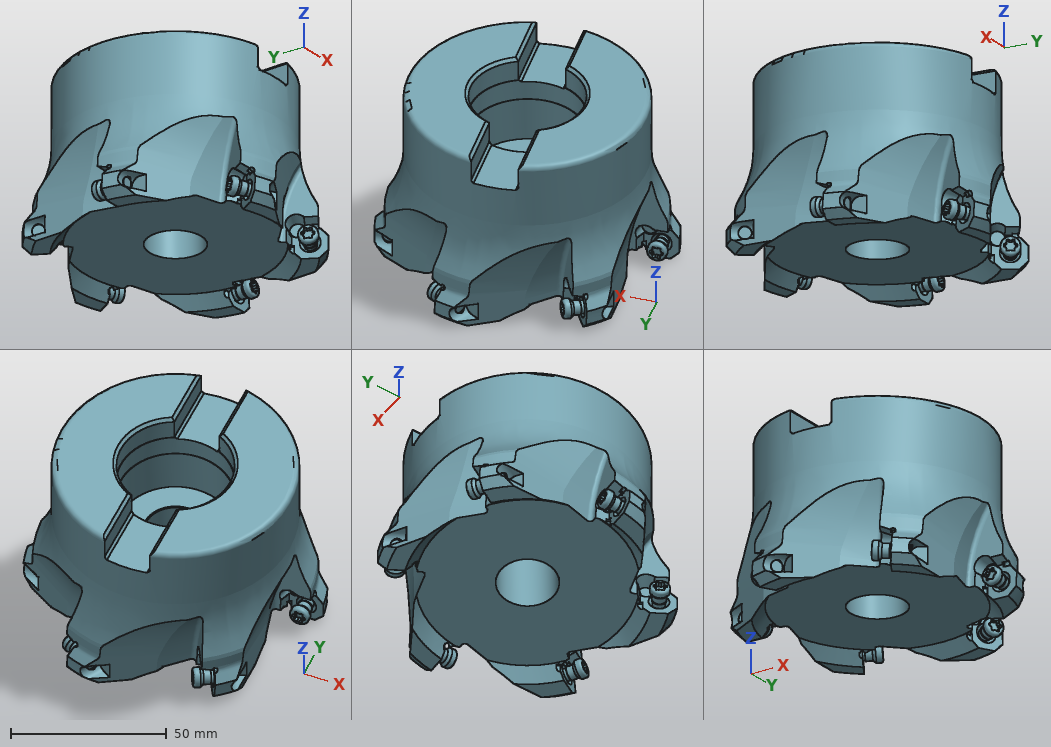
import cadquery as cq
import math


TOOTH_COUNT = 6

HEIGHT = 61.8
HUB_RADIUS = 40.0
HUB_RIM_FILLET = 1.95
FLARE_TOP = 38.5
FLARE_RADIUS = 40.0
FLARE_BOTTOM = 17.9
COLLAR_RADIUS = 46.0
COLLAR_TOP = 16.6
COLLAR_BOTTOM = 12.9
CONE_TOP_RADIUS = 47.0
CONE_TOP = 10.6
CUTTING_RADIUS = 49.2
LAND_TOP = 8.1
LAND_CHAMFER = 2.9
FACE_INNER_RADIUS = 40.5
FACE_RECESS_DEPTH = 4.3

BORE_RADIUS = 19.0
BORE_DEPTH = 32.2
BORE_CHAMFER = 1.1
BORE_RELIEF_TOP = 53.2
BORE_RELIEF_BOTTOM = 45.5
BORE_RELIEF_DEPTH = 0.1
BOLT_HOLE_RADIUS = 10.2
BOLT_HOLE_CHAMFER = 0.3
SLOT_WIDTH = 15.8
SLOT_DEPTH = 9.4
SLOT_TOP_CHAMFER = 1.1
SLOT_BOTTOM_CHAMFER = 0.9

AXIAL_RAKE = 3.5
SCREW_X = 42.8
SEAT_Y = 7.1
SEAT_Z = 5.8
SEAT = cq.Plane(
    origin=(SCREW_X, SEAT_Y, SEAT_Z),
    xDir=(1, 0, 0),
    normal=(0, -math.cos(math.radians(AXIAL_RAKE)), math.sin(math.radians(AXIAL_RAKE))),
)
BEYOND = 43.9

WALL_HEIGHT = 4.4
FLOOR_X = 36.0
FLOOR_U = FLOOR_X - SCREW_X
FLOOR_BEND = 3.9
FLOOR_CURVE_RADIUS = 51.7
FLOOR_START = 5.85
FLUTE_TOP = 37.1
ROOT_DEPTH = 3.2
ROOT_U = FLOOR_U - ROOT_DEPTH
ROOT_BEND = 0.4
ROOT_CURVE_RADIUS = 49.7
ROOT_SKEW = 0.25
ROOT_FILLET = 1.4

SEAT_APOTHEM = 6.0
SEAT_SIDES = 8
SEAT_HALF_SIDE = SEAT_APOTHEM * math.tan(math.pi / SEAT_SIDES)
SEAT_DRAFT = 15.0
RELIEF_RADIUS = 0.9
RELIEF_START = 0.7
SCOOP_U = -4.2
SCOOP_V = 5.0
SCOOP_DEPTH = 0.5
SCOOP_FLOOR_RADIUS = 2.5
SCOOP_WALL_RADIUS = 3.4

CROSS_HOLE_RADIUS = 3.0
CROSS_HOLE_DISTANCE = 8.6
CROSS_HOLE_END_X = 40.1

SHANK_RADIUS = 2.1
SHANK_LENGTH = 5.85
NECK_RADIUS = 2.4
NECK_BOTTOM = 0.8
COUNTERSINK_RADIUS = 3.4
HEAD_RADIUS = 3.3
HEAD_TOP = 6.5
HEAD_FILLET = 0.9
HEAD_CONE_TOP = 4.3
HEAD_CONE_BOTTOM = 3.2
DRIVE_CORE_RADIUS = 1.8
DRIVE_LOBE_RADIUS = 0.5
DRIVE_DEPTH = 1.8
DRIVE_LOBES = 6


def around(shape):
    """Copies of a shape at every tooth position."""
    step = 360 / TOOTH_COUNT
    return [shape.rotate((0, 0, 0), (0, 0, 1), i * step) for i in range(TOOTH_COUNT)]


def blank():
    """Revolved body with its flared skirt, cutting ring and recessed end face."""
    flare_drop = FLARE_TOP - FLARE_BOTTOM
    flare_end = HUB_RADIUS + FLARE_RADIUS - math.sqrt(FLARE_RADIUS**2 - flare_drop**2)
    return (
        cq.Workplane("XZ")
        .moveTo(0, HEIGHT)
        .lineTo(HUB_RADIUS - HUB_RIM_FILLET, HEIGHT)
        .tangentArcPoint((HUB_RADIUS, HEIGHT - HUB_RIM_FILLET), relative=False)
        .lineTo(HUB_RADIUS, FLARE_TOP)
        .tangentArcPoint((flare_end, FLARE_BOTTOM), relative=False)
        .lineTo(COLLAR_RADIUS, COLLAR_TOP)
        .lineTo(COLLAR_RADIUS, COLLAR_BOTTOM)
        .tangentArcPoint((CONE_TOP_RADIUS, CONE_TOP), relative=False)
        .lineTo(CUTTING_RADIUS, LAND_TOP)
        .lineTo(CUTTING_RADIUS, LAND_CHAMFER)
        .lineTo(CUTTING_RADIUS - LAND_CHAMFER, 0)
        .lineTo(FACE_INNER_RADIUS, 0)
        .lineTo(FACE_INNER_RADIUS - FACE_RECESS_DEPTH, FACE_RECESS_DEPTH)
        .lineTo(0, FACE_RECESS_DEPTH)
        .close()
        .revolve(360, (0, 0, 0), (0, 1, 0))
    )


def arbor_bore():
    """Stepped bore with a chamfered mouth, a shallow relief groove and the bolt hole below."""
    floor = HEIGHT - BORE_DEPTH
    relief_radius = BORE_RADIUS + BORE_RELIEF_DEPTH
    return (
        cq.Workplane("XZ")
        .polyline([
            (0, HEIGHT),
            (BORE_RADIUS + BORE_CHAMFER, HEIGHT),
            (BORE_RADIUS, HEIGHT - BORE_CHAMFER),
            (BORE_RADIUS, BORE_RELIEF_TOP),
            (relief_radius, BORE_RELIEF_TOP),
            (relief_radius, BORE_RELIEF_BOTTOM),
            (BORE_RADIUS, BORE_RELIEF_BOTTOM),
            (BORE_RADIUS, floor),
            (BOLT_HOLE_RADIUS + BOLT_HOLE_CHAMFER, floor),
            (BOLT_HOLE_RADIUS, floor - BOLT_HOLE_CHAMFER),
            (BOLT_HOLE_RADIUS, 0),
            (0, 0),
        ])
        .close()
        .revolve(360, (0, 0, 0), (0, 1, 0))
    )


def drive_slot():
    """Keyway across the top, with chamfered upper and lower edges."""
    half = SLOT_WIDTH / 2
    floor = HEIGHT - SLOT_DEPTH
    right_side = [
        (half - SLOT_BOTTOM_CHAMFER, floor),
        (half, floor + SLOT_BOTTOM_CHAMFER),
        (half, HEIGHT - SLOT_TOP_CHAMFER),
        (half + SLOT_TOP_CHAMFER, HEIGHT),
    ]
    left_side = [(-x, z) for x, z in reversed(right_side)]
    return cq.Workplane("XZ").polyline(right_side + left_side).close().extrude(HUB_RADIUS, both=True)


def floor_outline(distance, floor_u, bend_v, curve_radius):
    """Flute cross section at a distance in front of the seat: upright floor, curving outward above the bend."""
    top_u = floor_u + curve_radius - math.sqrt(curve_radius**2 - (FLUTE_TOP - bend_v) ** 2)
    return (
        cq.Workplane(SEAT)
        .workplane(offset=distance)
        .moveTo(floor_u, -BEYOND)
        .lineTo(floor_u, bend_v)
        .tangentArcPoint((top_u, FLUTE_TOP), relative=False)
        .lineTo(BEYOND, FLUTE_TOP)
        .lineTo(BEYOND, -BEYOND)
        .close()
    )


def flute():
    """Chip space: a long floor reaching the previous tooth and a skewed root along the front wall."""
    floor = floor_outline(FLOOR_START, FLOOR_U, FLOOR_BEND, FLOOR_CURVE_RADIUS).extrude(BEYOND - FLOOR_START)
    root_outline = floor_outline(WALL_HEIGHT, ROOT_U, ROOT_BEND, ROOT_CURVE_RADIUS).val()
    root_length = BEYOND - WALL_HEIGHT
    root_path = SEAT.toWorldCoords((root_length * ROOT_SKEW, 0, root_length)) - SEAT.origin
    root = cq.Workplane(cq.Solid.extrudeLinear(root_outline, [], root_path))
    wall = root.faces(cq.selectors.NearestToPointSelector(SEAT.toWorldCoords((0, 0, WALL_HEIGHT))))
    root_edges = [e for e in wall.edges().vals() if SEAT.toLocalCoords(e.Center()).x < 0]
    root = root.newObject(root_edges).fillet(ROOT_FILLET)
    return floor.union(root)


def insert_seat():
    """Seat with the drafted walls of half an octagon, open outward and downward."""
    return (
        cq.Workplane(SEAT)
        .polyline([
            (-SEAT_APOTHEM, -BEYOND),
            (-SEAT_APOTHEM, SEAT_HALF_SIDE),
            (-SEAT_HALF_SIDE, SEAT_APOTHEM),
            (BEYOND, SEAT_APOTHEM),
            (BEYOND, -BEYOND),
        ])
        .close()
        .extrude(WALL_HEIGHT, taper=-SEAT_DRAFT)
    )


def seat_reliefs():
    """Round grooves in the two corners between the seat and its upper and inner walls."""
    upper = cq.Solid.makeCylinder(
        RELIEF_RADIUS, BEYOND, SEAT.toWorldCoords((RELIEF_START, SEAT_APOTHEM, 0)), SEAT.xDir
    )
    inner = cq.Solid.makeCylinder(
        RELIEF_RADIUS, BEYOND, SEAT.toWorldCoords((-SEAT_APOTHEM, -RELIEF_START, 0)), -SEAT.yDir
    )
    return [upper, inner]


def scoop():
    """Conical recess in the slanted corner of the seat."""
    return cq.Solid.makeCone(
        SCOOP_FLOOR_RADIUS,
        SCOOP_WALL_RADIUS,
        SCOOP_DEPTH + WALL_HEIGHT,
        SEAT.toWorldCoords((SCOOP_U, SCOOP_V, -SCOOP_DEPTH)),
        SEAT.zDir,
    )


def cross_hole():
    """Flat-ended radial slot with a round bottom, which meets the tip of the screw behind the seat."""
    end = SEAT.toWorldCoords((CROSS_HOLE_END_X - SCREW_X, 0, -CROSS_HOLE_DISTANCE))
    outline_plane = cq.Workplane(cq.Plane(origin=end, xDir=-SEAT.zDir, normal=SEAT.xDir))
    hole = outline_plane.circle(CROSS_HOLE_RADIUS).extrude(BEYOND)
    opening = outline_plane.center(BEYOND / 2, 0).rect(BEYOND, 2 * CROSS_HOLE_RADIUS).extrude(BEYOND)
    return hole.union(opening).val()


def screw_hole():
    """Countersunk hole for the shank, from the seat into the cross hole."""
    sink_depth = COUNTERSINK_RADIUS - SHANK_RADIUS
    sink = cq.Solid.makeCone(COUNTERSINK_RADIUS, SHANK_RADIUS, sink_depth, SEAT.origin, -SEAT.zDir)
    shank = cq.Solid.makeCylinder(SHANK_RADIUS, CROSS_HOLE_DISTANCE, SEAT.origin, -SEAT.zDir)
    return [sink, shank]


def make_screw():
    """Clamping screw with a thicker neck, a conical underhead and a six-lobed drive."""
    side = cq.Plane(origin=SEAT.origin, xDir=SEAT.xDir, normal=-SEAT.yDir)
    screw = (
        cq.Workplane(side)
        .moveTo(0, -SHANK_LENGTH)
        .lineTo(SHANK_RADIUS, -SHANK_LENGTH)
        .lineTo(SHANK_RADIUS, NECK_BOTTOM)
        .lineTo(NECK_RADIUS, NECK_BOTTOM)
        .lineTo(NECK_RADIUS, HEAD_CONE_BOTTOM)
        .lineTo(HEAD_RADIUS, HEAD_CONE_TOP)
        .lineTo(HEAD_RADIUS, HEAD_TOP - HEAD_FILLET)
        .tangentArcPoint((HEAD_RADIUS - HEAD_FILLET, HEAD_TOP), relative=False)
        .lineTo(0, HEAD_TOP)
        .close()
        .revolve(360, (0, 0, 0), (0, 1, 0))
    )
    head_face = cq.Workplane(SEAT).workplane(offset=HEAD_TOP)
    core = head_face.circle(DRIVE_CORE_RADIUS).extrude(-DRIVE_DEPTH)
    lobes = (
        head_face.polarArray(DRIVE_CORE_RADIUS, 0, 360, DRIVE_LOBES)
        .circle(DRIVE_LOBE_RADIUS)
        .extrude(-DRIVE_DEPTH)
    )
    return screw.cut(core).cut(lobes).val()


def make_body():
    """Milling cutter body with all bores, flutes and seats cut out."""
    body = blank().cut(arbor_bore()).cut(drive_slot())
    tooth_cuts = [flute().val(), insert_seat().val(), *seat_reliefs(), scoop(), cross_hole(), *screw_hole()]
    for tool in tooth_cuts:
        for copy in around(tool):
            body = body.cut(cq.Workplane(copy))
    return body


body = make_body()
screws = around(make_screw())

result = cq.Compound.makeCompound([*body.vals(), *screws])